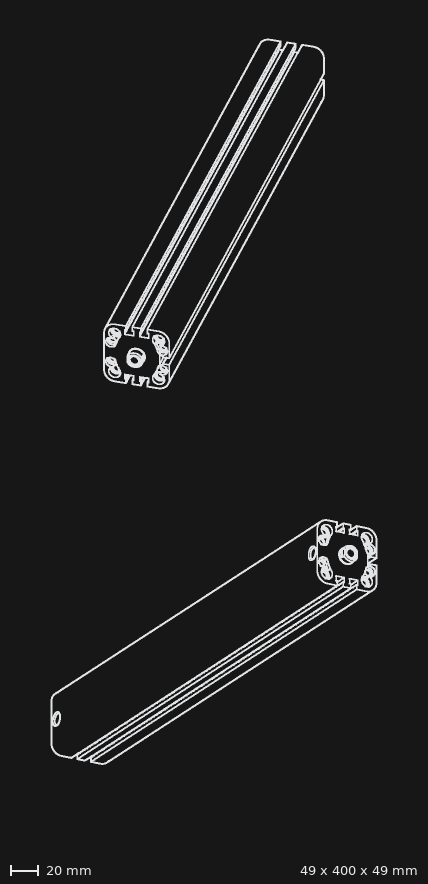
import cadquery as cq

total_length = 400.0
side = 49.0
half_side = side / 2
corner_radius = 8.5
rod_projection = 6.5
body_length = total_length - rod_projection
front_y = -body_length / 2
tip_y = front_y - rod_projection
rear_y = body_length / 2

slot_depth = 7.2
pair_offset = 5.5
pair_mouth = 5.0
pair_undercut = 7.0
pair_lip = 3.5
side_mouth = 5.5
side_undercut = 7.5
side_lip = 5.0

mount_offset = 16.5
mount_diameter = 5.2
mount_mouth_diameter = 6.5
counterbore_diameter = 9.0
counterbore_depth = 5.0

screw_x = 19.2
screw_z = 8.5
screw_diameter = 7.5
screw_pocket_depth = 3.2
socket_diameter = 5.0
socket_depth = 1.5
link_low_z = 5.2
link_low_x = 17.0
link_high_x = 13.5
link_high_z = 13.0

port_setback = 7.5
port_diameter = 8.5
port_mouth_diameter = 10.5
port_depth = 6.5
passage_diameter = 2.5
passage_shift = 2.5
passage_depth = 9.5

rod_diameter = 12.0
rod_chamfer = 1.2
ring_diameter = 12.5
ring_depth = 1.0
flat_width = 10.5
flat_length = 4.5
thread_diameter = 7.0
thread_mouth_diameter = 8.5
thread_depth = 16.0


def front_plane(start_y, x=0, z=0):
    """Workplane facing -Y at start_y, centred on (x, z)."""
    return cq.Workplane("XZ", origin=(x, start_y, z))


def cylinder_y(diameter, start_y, length, x=0, z=0):
    """Cylinder that runs toward +Y from start_y."""
    return front_plane(start_y, x, z).circle(diameter / 2).extrude(-length)


def cylinder_x(diameter, depth, y):
    """Cylinder that runs inward from the -X side."""
    return cq.Workplane("YZ", origin=(-half_side, y, 0)).circle(diameter / 2).extrude(depth)


def cone_frustum(mouth_diameter, end_diameter, start, direction):
    """45 degree cone that narrows from the mouth at start along direction."""
    height = (mouth_diameter - end_diameter) / 2
    cone = cq.Solid.makeCone(
        mouth_diameter / 2, end_diameter / 2, height, cq.Vector(*start), cq.Vector(*direction)
    )
    return cq.Workplane(cone)


def slot(mouth, undercut, lip, offset, turn):
    """Full-length T slot cut down from the top, then turned about Y onto its side."""
    mouth_cut = cq.Workplane().box(mouth, body_length, lip).translate((offset, 0, half_side - lip / 2))
    height = slot_depth - lip
    wide_cut = cq.Workplane().box(undercut, body_length, height)
    wide_cut = wide_cut.translate((offset, 0, half_side - lip - height / 2))
    return mouth_cut.union(wide_cut).rotate((0, 0, 0), (0, 1, 0), turn)


def corner_cut():
    """Mounting hole, its counterbore and the linked screw pocket of the +X +Z corner."""
    link = (
        front_plane(front_y)
        .polyline([
            (screw_x, link_low_z),
            (link_low_x, link_low_z),
            (link_high_x, link_high_z),
            (mount_offset, mount_offset),
        ])
        .close()
        .extrude(-screw_pocket_depth)
    )
    pocket = cylinder_y(screw_diameter, front_y, screw_pocket_depth, screw_x, screw_z).union(link)
    socket = cylinder_y(socket_diameter, front_y, screw_pocket_depth + socket_depth, screw_x, screw_z)
    through = cylinder_y(mount_diameter, front_y, body_length, mount_offset, mount_offset)
    counterbore = cylinder_y(counterbore_diameter, front_y, counterbore_depth, mount_offset, mount_offset)
    floor_centre = (mount_offset, front_y + counterbore_depth, mount_offset)
    countersink = cone_frustum(mount_mouth_diameter, mount_diameter, floor_centre, (0, 1, 0))
    return pocket.union(socket).union(through).union(counterbore).union(countersink)


def port_cut(y, toward_middle):
    """Countersunk port with a small passage off its floor, shifted toward mid-length."""
    port = cylinder_x(port_diameter, port_depth, y)
    mouth = cone_frustum(port_mouth_diameter, port_diameter, (-half_side, y, 0), (1, 0, 0))
    passage = cylinder_x(passage_diameter, passage_depth, y + toward_middle * passage_shift)
    return port.union(mouth).union(passage)


def rod_end():
    """Chamfered rod end with wrench flats on its -X and +X sides."""
    length = rod_projection + ring_depth
    rod = cylinder_y(rod_diameter, tip_y, length).faces("<Y").chamfer(rod_chamfer)
    band = cq.Workplane().box(rod_diameter, flat_length, rod_diameter)
    band = band.cut(cq.Workplane().box(flat_width, flat_length, rod_diameter))
    return rod.cut(band.translate((0, tip_y + flat_length / 2, 0)))


def thread_cut():
    """Countersunk blind hole with a pointed bottom."""
    inward = (0, 1, 0)
    hole = cylinder_y(thread_diameter, tip_y, thread_depth)
    mouth = cone_frustum(thread_mouth_diameter, thread_diameter, (0, tip_y, 0), inward)
    drill_point = cone_frustum(thread_diameter, 0, (0, tip_y + thread_depth, 0), inward)
    return hole.union(mouth).union(drill_point)


body = cq.Workplane().box(side, body_length, side).edges("|Y").fillet(corner_radius)

for turn in (0, 180):
    for offset in (-pair_offset, pair_offset):
        body = body.cut(slot(pair_mouth, pair_undercut, pair_lip, offset, turn))
body = body.cut(slot(side_mouth, side_undercut, side_lip, 0, 90))

corner = corner_cut()
for cut in (corner, corner.mirror("YZ")):
    body = body.cut(cut).cut(cut.mirror("XY"))

body = body.cut(port_cut(front_y + port_setback, 1))
body = body.cut(port_cut(rear_y - port_setback, -1))

body = body.cut(cylinder_y(ring_diameter, front_y, ring_depth))
result = body.union(rod_end()).cut(thread_cut())